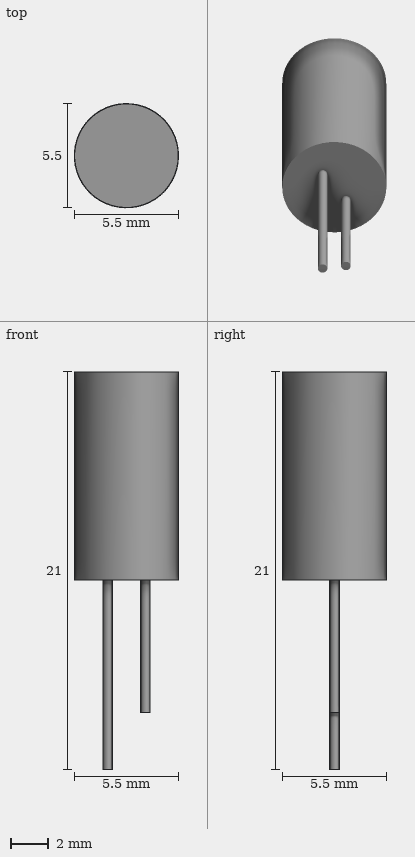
import cadquery as cq

total_height = 21.0
can_diameter = 5.5
can_height = 11.0

lead_diameter = 0.5
lead_pitch = 2.0
long_lead_length = total_height - can_height
short_lead_length = 7.0


def make_can():
    """Plain cylindrical can standing on the plane Z = 0."""
    return cq.Workplane("XY").circle(can_diameter / 2).extrude(can_height)


def make_lead(x_position, length):
    """Straight round lead hanging from the underside of the can."""
    return cq.Workplane("XY").center(x_position, 0).circle(lead_diameter / 2).extrude(-length)


can = make_can()

lead_layout = [
    (-lead_pitch / 2, long_lead_length),
    (lead_pitch / 2, short_lead_length),
]
leads = [make_lead(x_position, length) for x_position, length in lead_layout]

result = cq.Compound.makeCompound([can.val(), *[lead.val() for lead in leads]])